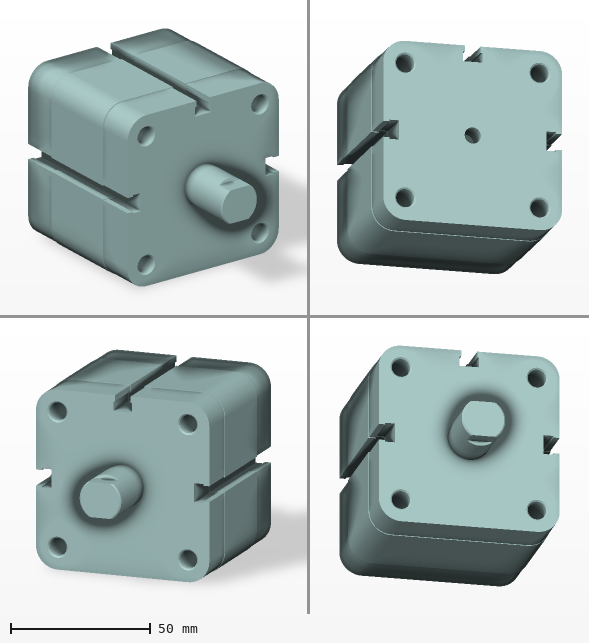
import cadquery as cq

rear_cap_length = 14.7
barrel_length = 31.5
front_cap_length = 14.9
barrel_start = rear_cap_length
front_cap_start = barrel_start + barrel_length
front_face = front_cap_start + front_cap_length

barrel_width = 67.0
barrel_corner_radius = 8.5
step = 0.25
cap_width = barrel_width - 2 * step
cap_corner_radius = barrel_corner_radius - step

slot_mouth_width = 5.4
slot_inner_width = 6.6
slot_lip_thickness = 2.8
slot_depth = 5.9

bolt_offset = 25.0
bolt_hole_diameter = 6.7
bolt_hole_chamfer = 0.55

centre_hole_diameter = 6.0
centre_hole_depth = 10.0

rod_diameter = 16.0
rod_tip = 83.5
rod_tip_chamfer = 0.5
flat_width = 13.0
flat_length = 6.1
flat_run_out = 0.4


def square_block(start, length, width, corner_radius):
    """Square bar along X with rounded long edges."""
    block = cq.Workplane("YZ", origin=(start, 0, 0)).rect(width, width).extrude(length)
    return block.edges("|X").fillet(corner_radius)


def t_slot(start, length, width, clearance):
    """Cutter for the top T-slot of a block, its walls moved out by the clearance."""
    top = width / 2
    half_mouth = slot_mouth_width / 2 + clearance
    half_inner = slot_inner_width / 2 + clearance
    lip_bottom = barrel_width / 2 - slot_lip_thickness + clearance
    floor = barrel_width / 2 - slot_depth - clearance
    return (
        cq.Workplane("YZ", origin=(start, 0, 0))
        .moveTo(-half_mouth, top)
        .lineTo(-half_mouth, lip_bottom)
        .lineTo(-half_inner, lip_bottom)
        .lineTo(-half_inner, floor)
        .lineTo(half_inner, floor)
        .lineTo(half_inner, lip_bottom)
        .lineTo(half_mouth, lip_bottom)
        .lineTo(half_mouth, top)
        .close()
        .extrude(length)
    )


def body_section(start, length, width, corner_radius, clearance):
    """Block with T-slots on the top and both sides and four corner bolt holes."""
    section = square_block(start, length, width, corner_radius)
    slot = t_slot(start, length, width, clearance)
    for angle in (-90, 0, 90):
        section = section.cut(slot.rotate((0, 0, 0), (1, 0, 0), angle))
    bolt_holes = (
        cq.Workplane("YZ", origin=(start, 0, 0))
        .rect(2 * bolt_offset, 2 * bolt_offset, forConstruction=True)
        .vertices()
        .circle(bolt_hole_diameter / 2)
        .extrude(length)
    )
    return section.cut(bolt_holes)


def cap(start, length, outer_face):
    """End cap with its bolt holes chamfered at the outer face."""
    section = body_section(start, length, cap_width, cap_corner_radius, step)
    smallest_radius = cq.selectors.RadiusNthSelector(0)
    hole_rims = section.faces(outer_face).edges("%CIRCLE").edges(smallest_radius)
    return hole_rims.chamfer(bolt_hole_chamfer)


def make_rear_cap():
    centre_hole = cq.Workplane("YZ").circle(centre_hole_diameter / 2).extrude(centre_hole_depth)
    return cap(0, rear_cap_length, "<X").cut(centre_hole)


def make_barrel():
    return body_section(barrel_start, barrel_length, barrel_width, barrel_corner_radius, 0)


def make_front_cap():
    return cap(front_cap_start, front_cap_length, ">X")


def make_rod():
    """Rod standing on the front face; wrench flats above and below its tip end in slanted walls."""
    rod = (
        cq.Workplane("YZ", origin=(front_face, 0, 0))
        .circle(rod_diameter / 2)
        .extrude(rod_tip - front_face)
        .faces(">X")
        .chamfer(rod_tip_chamfer)
    )
    flat_height = flat_width / 2
    rod_radius = rod_diameter / 2
    flat_start = rod_tip - flat_length
    flat_cut = (
        cq.Workplane("XZ")
        .moveTo(rod_tip, flat_height)
        .lineTo(flat_start, flat_height)
        .lineTo(flat_start - flat_run_out, rod_radius)
        .lineTo(rod_tip, rod_radius)
        .close()
        .extrude(rod_radius, both=True)
    )
    for angle in (0, 180):
        rod = rod.cut(flat_cut.rotate((0, 0, 0), (1, 0, 0), angle))
    return rod


rear_cap = make_rear_cap()
barrel = make_barrel()
front_cap = make_front_cap()
rod = make_rod()

result = cq.Compound.makeCompound([rear_cap.val(), barrel.val(), front_cap.val(), rod.val()])